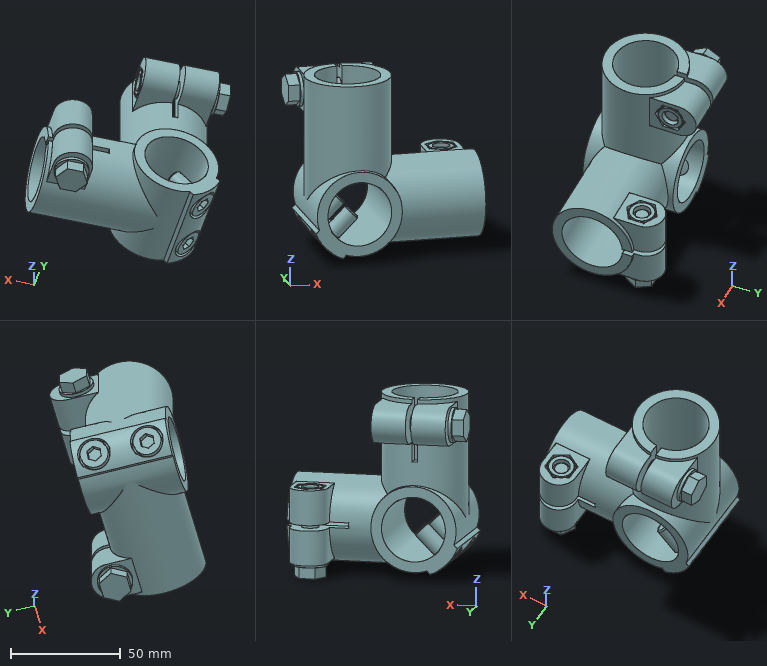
import cadquery as cq
import math


tube_radius = 40.0 / 2
sleeve_bore_radius = 30.0 / 2
socket_bore_radius = 30.1 / 2
sleeve_length = 45.0
socket_end = 60.0
socket_floor = tube_radius

lug_radius = 18.0 / 2
lug_half_span = 17.5
lug_root = math.sqrt(tube_radius**2 - lug_half_span**2)
upright_lug_reach = 33.0
level_lug_reach = 31.1
slot_width = 2.5
slot_length = 28.95
bolt_diameter = 8.0
bolt_height = 49.0
bolt_offset = tube_radius
hex_across_flats = 13.0
hex_across_corners = hex_across_flats / math.cos(math.radians(30))
washer_diameter = 16.0
washer_thickness = 1.5
bolt_head_height = 5.4
bolt_tip_chamfer = 0.9
bolt_tip_depth = 1.7
nut_recess_depth = 5.1
nut_collar_diameter = 12.6
nut_collar_height = 1.5
nut_collar_chamfer = 0.4
nut_corner_drop = 0.7

pad_radius = 22.0
pad_width = 18.0
screw_spacing = 25.0
screw_diameter = 8.0
screw_head_diameter = 13.0
counterbore_diameter = 15.0
screw_seat = 18.0
screw_face = 21.5
screw_tip = 1.5
screw_tip_chamfer = 0.7
key_across_flats = 6.2
key_across_corners = key_across_flats / math.cos(math.radians(30))


def rod(radius, start, end):
    """Cylinder along Z between two heights."""
    return cq.Workplane("XY").workplane(offset=start).circle(radius).extrude(end - start)


def hex_bar(across_corners, start, end):
    """Hexagonal bar along Z between two heights, with corners on the X axis."""
    return cq.Workplane("XY").workplane(offset=start).polygon(6, across_corners).extrude(end - start)


def swap_x_and_z(shape):
    """Mirror a shape in the plane x = z."""
    return shape.mirror(cq.Vector(1, 0, -1))


def along_y(shape):
    """Turn a Z-axis shape to run along Y."""
    return shape.rotate((0, 0, 0), (1, 0, 0), 90)


def quarter_turn(shape):
    """Turn a shape about Z, bringing hexagon corners from the X axis to the Y axis."""
    return shape.rotate((0, 0, 0), (0, 0, 1), 90)


def place_on_bolt_axis(shape):
    """Turn a Z-axis shape to run along X on the bolt axis of the Z socket."""
    turned = shape.rotate((0, 0, 0), (0, 1, 0), 90)
    return turned.translate((0, bolt_offset, bolt_height))


def make_lug(reach):
    """Round-ended lug across the Z socket."""
    tip_centre = reach - lug_radius
    return (
        cq.Workplane("YZ")
        .workplane(offset=-lug_half_span)
        .moveTo(lug_root, bolt_height - lug_radius)
        .lineTo(tip_centre, bolt_height - lug_radius)
        .threePointArc((reach, bolt_height), (tip_centre, bolt_height + lug_radius))
        .lineTo(lug_root, bolt_height + lug_radius)
        .close()
        .extrude(2 * lug_half_span)
    )


def make_slot(reach):
    """Slit through the lug and the tube wall, open at the socket end."""
    slot = cq.Workplane("XY").box(slot_width, reach, slot_length, centered=(True, False, False))
    return slot.translate((0, 0, socket_end - slot_length))


def make_nut():
    """Lock nut: hexagon with sloped corners below a round collar."""
    face = lug_half_span
    hex_top = face - nut_collar_height
    bottom = lug_half_span - nut_recess_depth
    corner_slope = rod(hex_across_corners / 2, bottom, hex_top)
    slope_run = (hex_across_corners - nut_collar_diameter) / 2
    corner_slope = corner_slope.faces(">Z").chamfer(nut_corner_drop, slope_run)
    hexagon = hex_bar(hex_across_corners, bottom, hex_top).intersect(corner_slope)
    collar = rod(nut_collar_diameter / 2, bottom, face).faces(">Z").chamfer(nut_collar_chamfer)
    return hexagon.union(collar).cut(rod(bolt_diameter / 2, bottom, face))


def make_bolt():
    """Bolt, washer and head, with the head on the -Z side."""
    washer_face = -lug_half_span - washer_thickness
    shank = rod(bolt_diameter / 2, -lug_half_span, lug_half_span - bolt_tip_depth)
    shank = shank.faces(">Z").chamfer(bolt_tip_chamfer)
    washer = rod(washer_diameter / 2, washer_face, -lug_half_span)
    head = hex_bar(hex_across_corners, washer_face - bolt_head_height, washer_face)
    return shank.union(washer).union(head)


def add_clamp(body, reach, orient):
    """Fit lug, bore, slot, bolt and nut to a socket; orient maps the Z socket onto it."""
    recess = hex_bar(hex_across_corners, lug_half_span - nut_recess_depth, lug_half_span)
    recess = place_on_bolt_axis(quarter_turn(recess))
    nut = place_on_bolt_axis(quarter_turn(make_nut()))
    bolt = place_on_bolt_axis(make_bolt())
    body = body.union(orient(make_lug(reach)))
    body = body.cut(orient(rod(socket_bore_radius, socket_floor, socket_end)))
    body = body.cut(orient(make_slot(reach)))
    body = body.cut(orient(recess))
    return body.union(orient(bolt)).union(orient(nut))


def place_on_screw_axis(shape, y):
    """Turn a Z-axis shape to point outward at 45 degrees between -X and -Z."""
    return shape.rotate((0, 0, 0), (0, 1, 0), -135).translate((0, y, 0))


def make_pad():
    """Thickened strip along the outer side of the sleeve."""
    strip = cq.Workplane("XY").box(pad_width, sleeve_length, pad_radius, centered=(True, True, False))
    envelope = along_y(rod(pad_radius, -sleeve_length / 2, sleeve_length / 2))
    return place_on_screw_axis(strip, 0).intersect(envelope)


def make_set_screw():
    """Set screw with a flat round head and a hexagon key socket as deep as the head."""
    shank = rod(screw_diameter / 2, screw_tip, screw_seat).faces("<Z").chamfer(screw_tip_chamfer)
    head = rod(screw_head_diameter / 2, screw_seat, screw_face)
    key = hex_bar(key_across_corners, screw_seat, screw_face)
    return shank.union(head).cut(key)


sleeve = along_y(rod(tube_radius, -sleeve_length / 2, sleeve_length / 2))
upright = rod(tube_radius, 0, socket_end)
result = sleeve.union(make_pad()).union(upright).union(swap_x_and_z(upright))

result = add_clamp(result, upright_lug_reach, lambda shape: shape)
result = add_clamp(result, level_lug_reach, swap_x_and_z)

result = result.cut(along_y(rod(sleeve_bore_radius, -sleeve_length / 2, sleeve_length / 2)))
for screw_y in (-screw_spacing / 2, screw_spacing / 2):
    counterbore = rod(counterbore_diameter / 2, screw_seat, pad_radius)
    result = result.cut(place_on_screw_axis(counterbore, screw_y))
    result = result.union(place_on_screw_axis(make_set_screw(), screw_y))